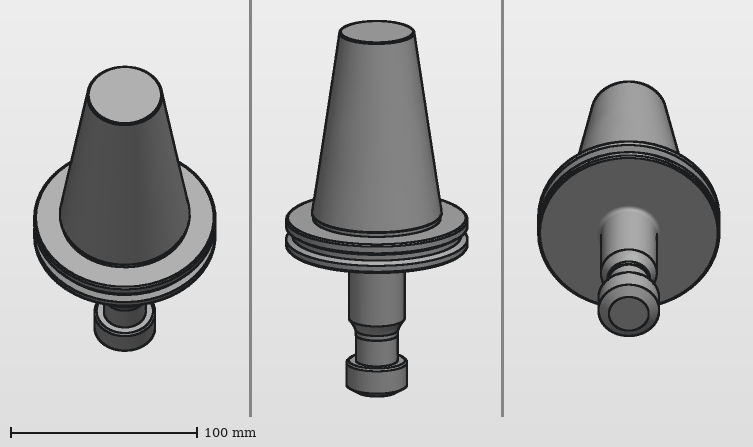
import cadquery as cq
import math

total_height = 201.8
head_edge_z = 3.5
head_top_z = 17.1
neck_step_z = 31.5
flare_start_z = 34.3
flare_end_z = 40.8
flange_bottom_z = 81.0
flange_top_z = 97.0
gauge_z = 99.9
groove_bottom_z = 87.2
groove_top_z = 90.4

flange_radius = 97.5 / 2
groove_radius = 45.4
taper_radius = 35.0
relief_radius = 34.3
shank_radius = 30.0 / 2
neck_radius = 11.3
head_radius = 16.3
head_bottom_radius = 10.7

taper_slope = 7 / 48
groove_wall_angle = 30.0
head_chamfer = 1.2
flange_chamfer = 1.0
tip_chamfer = 0.7
relief_chamfer = 0.6
neck_step = 0.2
shank_fillet = 2.2
flare_bow = 0.5

tip_radius = taper_radius - (total_height - gauge_z) * taper_slope
tip_edge_radius = tip_radius + tip_chamfer * taper_slope
groove_wall_height = (flange_radius - groove_radius) * math.tan(math.radians(groove_wall_angle))
upper_neck_radius = neck_radius + neck_step

flare_height = flare_end_z - flare_start_z
flare_width = shank_radius - upper_neck_radius
flare_chord = math.hypot(flare_width, flare_height)
flare_middle = (
    (upper_neck_radius + shank_radius) / 2 - flare_bow * flare_height / flare_chord,
    (flare_start_z + flare_end_z) / 2 + flare_bow * flare_width / flare_chord,
)

fillet_inset = shank_fillet * (1 - math.sqrt(0.5))
fillet_middle = (shank_radius + fillet_inset, flange_bottom_z - fillet_inset)

profile = (
    cq.Workplane("XZ")
    .moveTo(0, 0)
    .lineTo(head_bottom_radius, 0)
    .lineTo(head_radius, head_edge_z)
    .lineTo(head_radius, head_top_z - head_chamfer)
    .lineTo(head_radius - head_chamfer, head_top_z)
    .lineTo(neck_radius, head_top_z)
    .lineTo(neck_radius, neck_step_z)
    .lineTo(upper_neck_radius, neck_step_z + neck_step)
    .lineTo(upper_neck_radius, flare_start_z)
    .threePointArc(flare_middle, (shank_radius, flare_end_z))
    .lineTo(shank_radius, flange_bottom_z - shank_fillet)
    .threePointArc(fillet_middle, (shank_radius + shank_fillet, flange_bottom_z))
    .lineTo(flange_radius - flange_chamfer, flange_bottom_z)
    .lineTo(flange_radius, flange_bottom_z + flange_chamfer)
    .lineTo(flange_radius, groove_bottom_z - groove_wall_height)
    .lineTo(groove_radius, groove_bottom_z)
    .lineTo(groove_radius, groove_top_z)
    .lineTo(flange_radius, groove_top_z + groove_wall_height)
    .lineTo(flange_radius, flange_top_z - flange_chamfer)
    .lineTo(flange_radius - flange_chamfer, flange_top_z)
    .lineTo(relief_radius, flange_top_z)
    .lineTo(relief_radius, gauge_z - relief_chamfer)
    .lineTo(taper_radius, gauge_z)
    .lineTo(tip_edge_radius, total_height - tip_chamfer)
    .lineTo(tip_edge_radius - tip_chamfer, total_height)
    .lineTo(0, total_height)
    .close()
)

result = profile.revolve(360, (0, 0, 0), (0, 1, 0))